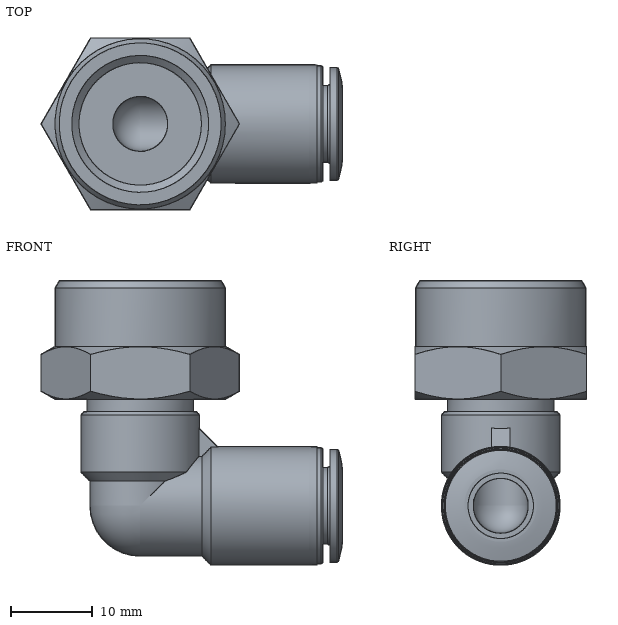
import cadquery as cq
import math


overall_length = 36.82

elbow_radius = 6.15
passage_radius = 6.7 / 2
body_radius = 14.5 / 2
shoulder_rise = body_radius - elbow_radius

shoulder_bottom = 3.02
sleeve_top = 11.5
sleeve_chamfer = 0.35
neck_radius = 13.05 / 2
hex_bottom = 13.0
hex_top = 19.48
hex_across_flats = 21.0
hex_chamfer_angle = 30
socket_top = 27.5
socket_radius = 20.8 / 2
socket_chamfer_width = 0.5
socket_chamfer_height = 0.9
bore_radius = 14.95 / 2
bore_chamfer = 0.9
bore_depth = 12.52

port_start = 7.55
port_taper_start = 20.62
port_taper_drop = 0.05
port_step = 21.6
port_step_radius = 14.2 / 2
port_bevel_start = 22.1
port_end = 22.3
port_end_radius = 13.9 / 2
ring_neck_radius = 9.4 / 2
ring_neck_end = 22.85
ring_back = 23.15
ring_neck_flare = 0.15
ring_radius = 13.8 / 2
ring_bevel_start = 24.0
ring_rim = 24.23
ring_rim_radius = 6.77
ring_face_radius = 4.4
ring_dome_point = (24.52, 5.67)
tube_bore_radius = 8.0 / 2
tube_bore_bottom = port_start

gusset_reach = 16.68
gusset_thickness = 2.2

hex_corner_radius = hex_across_flats / math.sqrt(3)
port_face = overall_length - hex_corner_radius


def rod(plane, radius, start, end):
    """Cylinder along the normal of a plane through the origin."""
    return cq.Workplane(plane).workplane(offset=start).circle(radius).extrude(end - start)


def revolve_about_z(points):
    """Solid of revolution from (radius, height) points."""
    return cq.Workplane("XZ").polyline(points).close().revolve(360, (0, 0), (0, 1))


def elbow(radius, top, right):
    """Two equal cylinders joined by a ball at the corner."""
    return (
        cq.Workplane("XY").sphere(radius)
        .union(rod("XY", radius, 0, top))
        .union(rod("YZ", radius, 0, right))
    )


def vertical_sleeve():
    return revolve_about_z([
        (0, shoulder_bottom),
        (elbow_radius, shoulder_bottom),
        (body_radius, shoulder_bottom + shoulder_rise),
        (body_radius, sleeve_top - sleeve_chamfer),
        (body_radius - sleeve_chamfer, sleeve_top),
        (neck_radius, sleeve_top),
        (neck_radius, hex_bottom),
        (0, hex_bottom),
    ])


def hexagon():
    """Hexagon with corners on X, its corners cut by a cone at both ends."""
    prism = (
        cq.Workplane("XY").workplane(offset=hex_bottom)
        .polygon(6, 2 * hex_corner_radius)
        .extrude(hex_top - hex_bottom)
    )
    corner_drop = (hex_corner_radius - socket_radius) * math.tan(math.radians(hex_chamfer_angle))
    cone_envelope = revolve_about_z([
        (0, hex_bottom),
        (socket_radius, hex_bottom),
        (hex_corner_radius, hex_bottom + corner_drop),
        (hex_corner_radius, hex_top - corner_drop),
        (socket_radius, hex_top),
        (0, hex_top),
    ])
    return prism.intersect(cone_envelope)


def socket_collar():
    return revolve_about_z([
        (0, hex_top),
        (socket_radius, hex_top),
        (socket_radius, socket_top - socket_chamfer_height),
        (socket_radius - socket_chamfer_width, socket_top),
        (0, socket_top),
    ])


def socket_bore():
    return revolve_about_z([
        (0, socket_top - bore_depth),
        (bore_radius, socket_top - bore_depth),
        (bore_radius, socket_top - bore_chamfer),
        (bore_radius + bore_chamfer, socket_top),
        (0, socket_top),
    ])


def tube_port():
    """Port body, groove and domed release ring, revolved about X."""
    return (
        cq.Workplane("XZ")
        .moveTo(port_start, 0)
        .lineTo(port_start, elbow_radius)
        .lineTo(port_start + shoulder_rise, body_radius)
        .lineTo(port_taper_start, body_radius)
        .lineTo(port_step, body_radius - port_taper_drop)
        .lineTo(port_step, port_step_radius)
        .lineTo(port_bevel_start, port_step_radius)
        .lineTo(port_end, port_end_radius)
        .lineTo(port_end, ring_neck_radius)
        .lineTo(ring_neck_end, ring_neck_radius)
        .lineTo(ring_back, ring_neck_radius + ring_neck_flare)
        .lineTo(ring_back, ring_radius)
        .lineTo(ring_bevel_start, ring_radius)
        .lineTo(ring_rim, ring_rim_radius)
        .threePointArc(ring_dome_point, (port_face, ring_face_radius))
        .lineTo(port_face, 0)
        .close()
        .revolve(360, (0, 0), (1, 0))
    )


def gusset():
    return (
        cq.Workplane("XZ")
        .polyline([(0, 0), (gusset_reach, 0), (0, gusset_reach)]).close()
        .extrude(gusset_thickness / 2, both=True)
    )


outer = (
    elbow(elbow_radius, shoulder_bottom, port_start)
    .union(vertical_sleeve())
    .union(hexagon())
    .union(socket_collar())
    .union(tube_port())
    .union(gusset())
)

result = (
    outer
    .cut(elbow(passage_radius, socket_top - bore_depth, tube_bore_bottom))
    .cut(socket_bore())
    .cut(rod("YZ", tube_bore_radius, tube_bore_bottom, port_face))
)